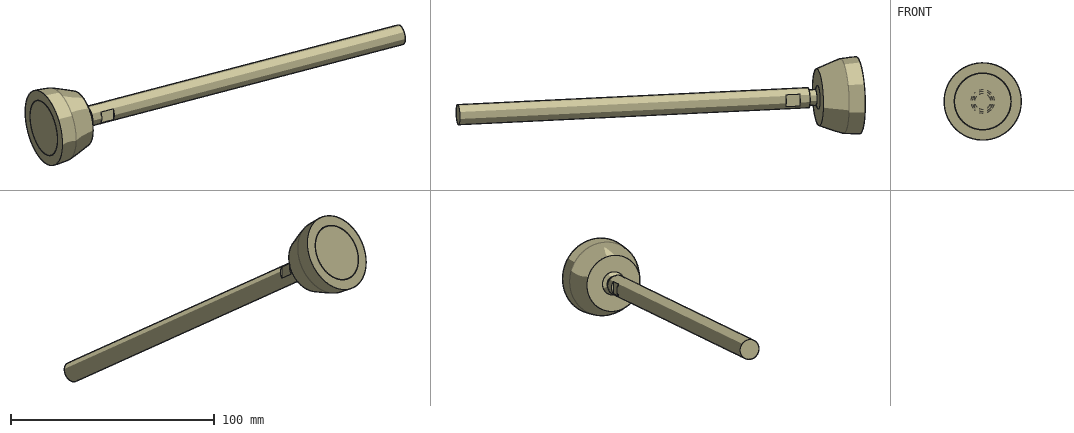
import cadquery as cq

total_length = 200.0

foot_height = 20.0
foot_base_radius = 38.0 / 2
foot_top_radius = 28.0 / 2
rim_height = 8.0
rim_top_radius = 18.5
rim_middle_radius = 18.8
shoulder_middle_radius = 16.5
pocket_radius = 28.0 / 2

rod_radius = 10.0 / 2
neck_radius = 7.8 / 2
neck_length = 4.8
collar_height = 1.2
collar_radius = 5.8
flange_radius = 27.5 / 2
flange_thickness = 8.0

flats_start = 29.8
flats_length = 7.0
across_flats = 8.0


def make_foot():
    """Domed foot with a flange pocket below and a close-fitting hole for the stud."""
    shoulder_middle_height = (foot_height + rim_height) / 2
    profile = (
        cq.Workplane("XY")
        .moveTo(collar_radius, foot_height)
        .lineTo(foot_top_radius, foot_height)
        .threePointArc((shoulder_middle_radius, shoulder_middle_height), (rim_top_radius, rim_height))
        .threePointArc((rim_middle_radius, rim_height / 2), (foot_base_radius, 0))
        .lineTo(pocket_radius, 0)
        .lineTo(pocket_radius, flange_thickness)
        .lineTo(collar_radius, flange_thickness)
        .close()
    )
    return profile.revolve(360, (0, 0, 0), (0, 1, 0))


def make_stud_blank():
    """Turned rod with a neck, a conical collar and a flange at its foot end."""
    rod_start = foot_height + neck_length
    profile = (
        cq.Workplane("XY")
        .polyline([
            (0, 0),
            (flange_radius, 0),
            (flange_radius, flange_thickness),
            (collar_radius, flange_thickness),
            (collar_radius, foot_height),
            (neck_radius, foot_height + collar_height),
            (neck_radius, rod_start),
            (rod_radius, rod_start),
            (rod_radius, total_length),
            (0, total_length),
        ])
        .close()
    )
    return profile.revolve(360, (0, 0, 0), (0, 1, 0))


def make_stud():
    """Stud blank with a wrench flat milled on each X side."""
    stud = make_stud_blank()
    flat_cutter_size = 2 * rod_radius
    for side in (-1, 1):
        cutter = cq.Workplane("XY").box(flat_cutter_size, flats_length, flat_cutter_size)
        cutter_x = side * (across_flats + flat_cutter_size) / 2
        stud = stud.cut(cutter.translate((cutter_x, flats_start + flats_length / 2, 0)))
    return stud


foot = make_foot()
stud = make_stud()

result = cq.Compound.makeCompound([foot.val(), stud.val()])